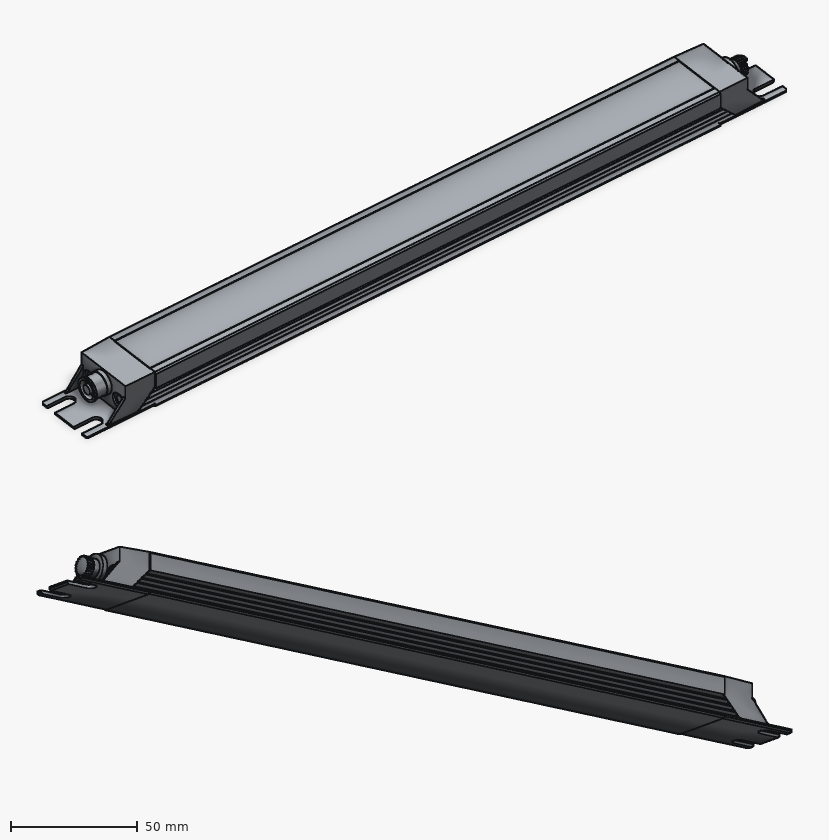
import cadquery as cq
import math

TOTAL_LENGTH = 355.0
TOTAL_WIDTH = 30.0
TOTAL_HEIGHT = 17.5

PROFILE_LENGTH = 286.0
CORNER_CHAMFER = 0.7
FLANGE_TOP = 1.25
LEDGE_BOTTOM = 9.5
RIB_COUNT = 3
RIB_PITCH = 2.0
RIB_BASE = 2.3
RIB_PEAK_X = 14.38
RIB_VALLEY_X = 13.0
WINDOW_WIDTH = 22.5
WINDOW_DEPTH = 0.5

CAP_WIDTH = 28.8
CAP_END_WIDTH = 27.5
CAP_END_HEIGHT = 17.0
WALL_Y = 157.5
FOOT_THICKNESS = 1.5
FOOT_CORNER = 0.7
FOOT_BOTTOM_CHAMFER = 0.7
GUSSET_THICKNESS = 1.0
GUSSET_TOP = 11.0
GUSSET_BEND_Y = 164.5
GUSSET_BEND_Z = 3.2
GUSSET_BEND_RADIUS = 4.3
GUSSET_END_Y = 166.5
SLOT_WIDTH = 5.5
SLOT_X = 8.5
SLOT_END_Y = 165.5

SCREW_X = 9.2
SCREW_Z = 7.0
SEAT_RADIUS = 3.37
SEAT_DEPTH = 1.0
SCREW_HOLE_RADIUS = 2.0
SCREW_HOLE_DEPTH = 4.3

CONNECTOR_Z = 10.83
COLLAR_LENGTH = 2.0
SOCKET_COLLAR_RADIUS = 5.5
SOCKET_RADIUS = 5.0
SOCKET_RIM_RADIUS = 5.5
SOCKET_RIM_LENGTH = 1.0
SOCKET_END_Y = 166.0
SOCKET_BORE_RADIUS = 4.3
SOCKET_BORE_DEPTH = 3.0
INSERT_RADIUS = 2.0
PLUG_COLLAR_RADIUS = 6.0
PLUG_NECK_RADIUS = 4.0
KNURL_START_Y = 162.5
KNURL_END_Y = 165.8
KNURL_RADIUS = 4.3
KNURL_DEPTH = 0.55
KNURL_TEETH = 20

half_length = TOTAL_LENGTH / 2
half_width = TOTAL_WIDTH / 2
profile_end = PROFILE_LENGTH / 2
joint_foot_y = profile_end + LEDGE_BOTTOM - FOOT_THICKNESS


def side_outline():
    """Points of the profile's +X side, from the bottom up."""
    points = [
        (half_width - CORNER_CHAMFER, 0),
        (half_width, CORNER_CHAMFER),
        (half_width, FLANGE_TOP),
    ]
    for i in range(RIB_COUNT):
        valley_z = RIB_BASE + i * RIB_PITCH
        points.append((RIB_VALLEY_X, valley_z))
        points.append((RIB_PEAK_X, valley_z + RIB_PITCH / 2))
    points += [
        (RIB_VALLEY_X, RIB_BASE + RIB_COUNT * RIB_PITCH),
        (half_width, LEDGE_BOTTOM),
        (half_width, TOTAL_HEIGHT - CORNER_CHAMFER),
        (half_width - CORNER_CHAMFER, TOTAL_HEIGHT),
    ]
    return points


def make_profile():
    """Ribbed bar with joint-shaped ends and a shallow window along its top."""
    right_side = side_outline()
    left_side = [(-x, z) for x, z in reversed(right_side)]
    bar = (
        cq.Workplane("XZ")
        .polyline(right_side + left_side)
        .close()
        .extrude(joint_foot_y, both=True)
    )
    quarter = [
        (profile_end, 0),
        (profile_end, FOOT_THICKNESS),
        (joint_foot_y, FOOT_THICKNESS),
        (profile_end, LEDGE_BOTTOM),
        (profile_end, TOTAL_HEIGHT),
    ]
    mirrored = [(-y, z) for y, z in reversed(quarter)]
    length_outline = (
        cq.Workplane("YZ")
        .polyline(quarter + mirrored)
        .close()
        .extrude(TOTAL_WIDTH, both=True)
    )
    window = cq.Workplane("XY").box(
        WINDOW_WIDTH, PROFILE_LENGTH, 2 * WINDOW_DEPTH
    ).translate((0, 0, TOTAL_HEIGHT))
    return bar.intersect(length_outline).cut(window)


def y_cylinder(radius, start_y, end_y, x=0, z=CONNECTOR_Z):
    """Cylinder along Y between two positions."""
    return (
        cq.Workplane("XZ", origin=(0, start_y, 0))
        .center(x, z)
        .circle(radius)
        .extrude(start_y - end_y)
    )


def make_cap_upper():
    """Cap above the foot: a solid block to the outer wall, then two gussets that run down to the foot."""
    side_shape = (
        cq.Workplane("YZ")
        .moveTo(WALL_Y, CAP_END_HEIGHT)
        .lineTo(profile_end, TOTAL_HEIGHT)
        .lineTo(profile_end, LEDGE_BOTTOM)
        .lineTo(joint_foot_y, FOOT_THICKNESS)
        .lineTo(GUSSET_END_Y, FOOT_THICKNESS)
        .radiusArc((GUSSET_BEND_Y, GUSSET_BEND_Z), GUSSET_BEND_RADIUS)
        .lineTo(WALL_Y, GUSSET_TOP)
        .close()
        .extrude(CAP_WIDTH / 2, both=True)
    )
    plan_shape = (
        cq.Workplane("XY")
        .polyline([
            (-CAP_WIDTH / 2, profile_end),
            (CAP_WIDTH / 2, profile_end),
            (CAP_END_WIDTH / 2, GUSSET_END_Y),
            (-CAP_END_WIDTH / 2, GUSSET_END_Y),
        ])
        .close()
        .extrude(TOTAL_HEIGHT)
    )
    gap_between_gussets = cq.Workplane("XY", origin=(0, WALL_Y, FOOT_THICKNESS)).box(
        CAP_END_WIDTH - 2 * GUSSET_THICKNESS,
        GUSSET_END_Y - WALL_Y,
        TOTAL_HEIGHT,
        centered=(True, False, False),
    )
    return side_shape.intersect(plan_shape).cut(gap_between_gussets)


def make_foot():
    """Mounting plate under the cap with two open slots at its outer end."""
    foot = cq.Workplane("XY", origin=(0, profile_end, 0)).box(
        CAP_WIDTH, half_length - profile_end, FOOT_THICKNESS, centered=(True, False, False)
    )
    foot = foot.edges("|Z and >Y").chamfer(FOOT_CORNER)
    foot = foot.faces("<Z").edges("not <Y").chamfer(FOOT_BOTTOM_CHAMFER)
    slot_length = 2 * (half_length - SLOT_END_Y)
    slots = (
        cq.Workplane("XY")
        .pushPoints([(-SLOT_X, half_length), (SLOT_X, half_length)])
        .slot2D(slot_length, SLOT_WIDTH, 90)
        .extrude(FOOT_THICKNESS)
    )
    return foot.cut(slots)


def make_cap():
    """End cap at the +Y end: block, foot, gussets and screw seats."""
    cap = make_cap_upper().union(make_foot())
    for x in (-SCREW_X, SCREW_X):
        cap = cap.cut(y_cylinder(SEAT_RADIUS, WALL_Y - SEAT_DEPTH, WALL_Y, x, SCREW_Z))
        cap = cap.cut(y_cylinder(SCREW_HOLE_RADIUS, WALL_Y - SCREW_HOLE_DEPTH, WALL_Y, x, SCREW_Z))
    return cap


def make_collar(radius):
    """Round collar that sits on the cap wall."""
    return y_cylinder(radius, WALL_Y, WALL_Y + COLLAR_LENGTH)


def make_socket():
    """Socket connector with a rim and a ring-shaped recess around a central insert."""
    bore_floor = SOCKET_END_Y - SOCKET_BORE_DEPTH
    recess = y_cylinder(SOCKET_BORE_RADIUS, bore_floor, SOCKET_END_Y).cut(
        y_cylinder(INSERT_RADIUS, bore_floor, SOCKET_END_Y)
    )
    barrel = y_cylinder(SOCKET_RADIUS, WALL_Y, SOCKET_END_Y)
    rim = y_cylinder(SOCKET_RIM_RADIUS, SOCKET_END_Y - SOCKET_RIM_LENGTH, SOCKET_END_Y)
    return make_collar(SOCKET_COLLAR_RADIUS).union(barrel).union(rim).cut(recess)


def make_plug():
    """Plug connector with a knurled ring at its outer end."""
    teeth = []
    for i in range(2 * KNURL_TEETH):
        angle = math.pi * i / KNURL_TEETH
        radius = KNURL_RADIUS - KNURL_DEPTH * (i % 2)
        teeth.append((radius * math.cos(angle), CONNECTOR_Z + radius * math.sin(angle)))
    knurl = (
        cq.Workplane("XZ", origin=(0, KNURL_START_Y, 0))
        .polyline(teeth)
        .close()
        .extrude(KNURL_START_Y - KNURL_END_Y)
    )
    neck = y_cylinder(PLUG_NECK_RADIUS, WALL_Y, KNURL_START_Y)
    return make_collar(PLUG_COLLAR_RADIUS).union(neck).union(knurl)


profile = make_profile()
far_cap = make_cap()
caps = [far_cap, far_cap.mirror("XZ")]
plug = make_plug()
socket = make_socket().mirror("XZ")

result = cq.Compound.makeCompound([
    profile.val(),
    *[cap.val() for cap in caps],
    plug.val(),
    socket.val(),
])